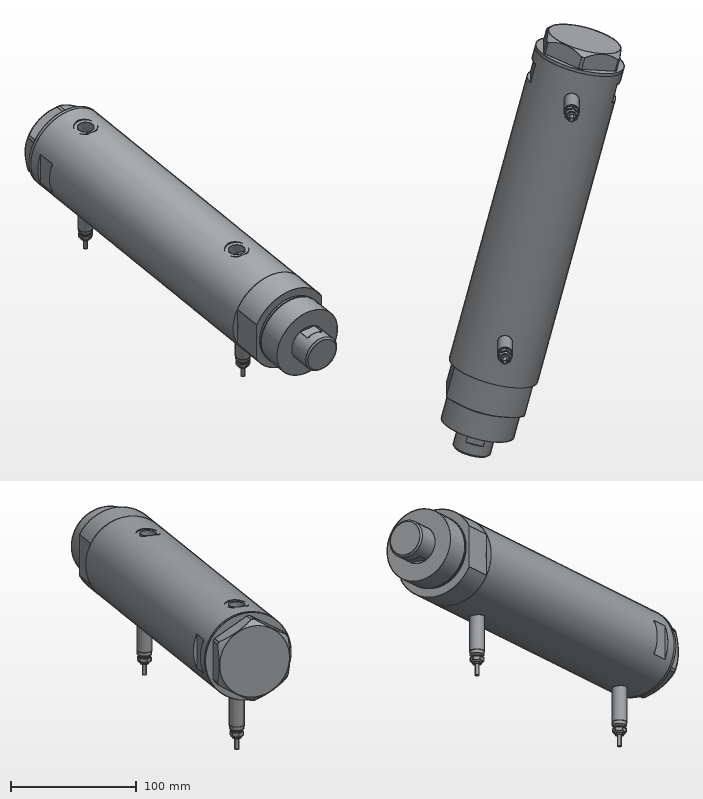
import cadquery as cq
import math


flange_start = 14.3
tube_start = 16.8
tube_end = 287.5
sleeve_end = 313.0
groove_width = 2.5
collar_start = sleeve_end + groove_width
collar_end = 337.5
rod_end = 357.5

body_radius = 36.5
clear_radius = body_radius + 3.5
bore_radius = 25.7
seat_radius = 31.5
slot_start = 26.0
slot_length = 15.7
slot_half_gap = 33.5

port_xs = (41.0, 243.0)
port_diameter = 13.2
spotface_radius = 9.5
spotface_height = 35.5

hexagon_flats = 60.0
hexagon_corner_radius = 34.0
hexagon_face_radius = 29.5
spigot_end = 42.2

head_flat_half_gap = 32.0
groove_radius = 29.3
collar_radius = 30.0
gland_start = port_xs[1]

piston_length = 28.5
piston_end = spigot_end + piston_length
rod_radius = 15.5
rod_chamfer = 1.5
rod_flat_half_gap = 13.5
rod_flats_end = 347.5

sensor_xs = (40.8, 251.5)
sensor_radius = 6.0
sensor_top = -32.0
sensor_sleeve_end = -65.0
sensor_rim_radius = 5.7
sensor_rim_end = -69.5
sensor_rim_chamfer = 1.5
sensor_neck_radius = 4.0
nut_top = -70.5
nut_bottom = -74.7
nut_flats = 9.5
nut_chamfer = 1.8
wire_collar_radius = 3.2
wire_collar_end = -75.8
wire_radius = 1.6
wire_end = -85.0


def cylinder_x(start, end, radius):
    """Cylinder on the X axis between two stations."""
    return cq.Workplane("YZ", origin=(start, 0, 0)).circle(radius).extrude(end - start)


def cylinder_z(x, low, high, radius):
    """Upright cylinder at station x."""
    return cq.Workplane("XY", origin=(x, 0, low)).circle(radius).extrude(high - low)


def turned(steps):
    """Shaft about the X axis from (start, end, radius) steps that follow one another."""
    outline = [(steps[0][0], 0)]
    for start, end, radius in steps:
        outline += [(start, radius), (end, radius)]
    outline.append((steps[-1][1], 0))
    return cq.Workplane("XZ").polyline(outline).close().revolve(360, (0, 0), (1, 0))


def slab(start, end, half_y, half_z):
    """Block between two stations, centred on the X axis."""
    block = cq.Workplane("XY").box(end - start, 2 * half_y, 2 * half_z, centered=(False, True, True))
    return block.translate((start, 0, 0))


def cut_flats(body, start, end, half_y=clear_radius, half_z=clear_radius):
    """Cut parallel flats into a body, at half_y or half_z on both sides of the axis."""
    whole = slab(start, end, clear_radius, clear_radius)
    return body.cut(whole.cut(slab(start, end, half_y, half_z)))


def hexagon_head():
    """Cap hexagon with corners on +Z and -Z, rounded, and chamfered at 45 degrees at its end."""
    across_corners = hexagon_flats / math.cos(math.pi / 6)
    prism = cq.Workplane("YZ").polygon(6, across_corners).extrude(flange_start)
    prism = prism.rotate((0, 0, 0), (1, 0, 0), 90)
    chamfer = hexagon_corner_radius - hexagon_face_radius
    envelope = cylinder_x(0, flange_start, hexagon_corner_radius).faces("<X").chamfer(chamfer)
    return prism.intersect(envelope)


def end_cap():
    flange = cylinder_x(flange_start, tube_start, body_radius)
    spigot = cylinder_x(tube_start, spigot_end, bore_radius)
    return hexagon_head().union(flange).union(spigot)


def tube():
    barrel = cylinder_x(tube_start, tube_end, body_radius)
    barrel = barrel.cut(cylinder_x(tube_start, tube_end, bore_radius))
    barrel = barrel.cut(cylinder_x(gland_start, tube_end, seat_radius))
    barrel = cut_flats(barrel, slot_start, slot_start + slot_length, half_y=slot_half_gap)
    for x in port_xs:
        barrel = barrel.cut(cylinder_z(x, 0, body_radius, port_diameter / 2))
        barrel = barrel.cut(cylinder_z(x, spotface_height, clear_radius, spotface_radius))
    for x in sensor_xs:
        barrel = barrel.cut(cylinder_z(x, -clear_radius, sensor_top, sensor_radius))
    return barrel


def head():
    outer = turned([
        (gland_start, tube_end, seat_radius),
        (tube_end, sleeve_end, body_radius),
        (sleeve_end, collar_start, groove_radius),
        (collar_start, collar_end, collar_radius),
    ])
    outer = cut_flats(outer, tube_end, sleeve_end, half_y=head_flat_half_gap)
    return outer.cut(cylinder_x(gland_start, collar_end, rod_radius))


def piston_rod():
    rod = turned([
        (spigot_end, piston_end, bore_radius),
        (piston_end, rod_end, rod_radius),
    ]).faces(">X").chamfer(rod_chamfer)
    return cut_flats(rod, collar_end, rod_flats_end, half_z=rod_flat_half_gap)


def cable_nut(x):
    """Small hexagon with corners on +X and -X, chamfered around its lower end."""
    corner_radius = nut_flats / 2 / math.cos(math.pi / 6)
    prism = (
        cq.Workplane("XY", origin=(x, 0, nut_bottom))
        .polygon(6, 2 * corner_radius)
        .extrude(nut_top - nut_bottom)
    )
    envelope = cylinder_z(x, nut_bottom, nut_top, corner_radius).faces("<Z").chamfer(nut_chamfer)
    return prism.intersect(envelope)


def sensor(x):
    """Barrel sensor with a chamfered rim, a neck, a cable nut and a wire."""
    barrel = cylinder_z(x, sensor_sleeve_end, sensor_top, sensor_radius)
    rim = cylinder_z(x, sensor_rim_end, sensor_sleeve_end, sensor_rim_radius)
    rim = rim.faces("<Z").chamfer(sensor_rim_chamfer)
    neck = cylinder_z(x, nut_top, sensor_rim_end, sensor_neck_radius)
    wire_collar = cylinder_z(x, wire_collar_end, nut_bottom, wire_collar_radius)
    wire = cylinder_z(x, wire_end, wire_collar_end, wire_radius)
    return barrel.union(rim).union(neck).union(cable_nut(x)).union(wire_collar).union(wire)


sensors = [sensor(x) for x in sensor_xs]

result = cq.Compound.makeCompound([
    end_cap().val(),
    tube().val(),
    head().val(),
    piston_rod().val(),
    *[body.val() for body in sensors],
])